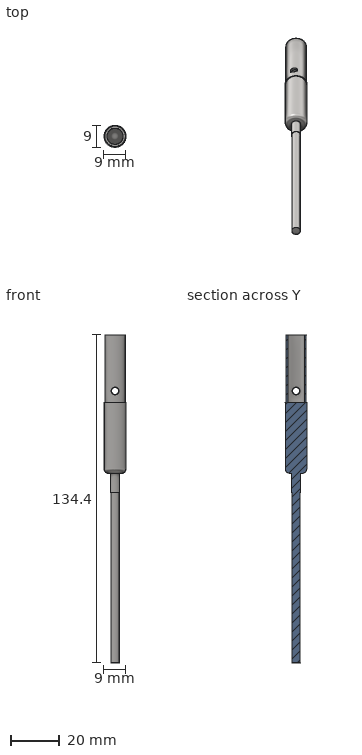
import cadquery as cq

total_length = 134.4
pin_top = 69.9
body_bottom = 77.5
body_top = 106.7

pin_diameter = 3.5
neck_diameter = 3.8
body_diameter = 9.0
sleeve_diameter = 8.5
bore_diameter = 6.6

body_fillet = 2.0

cross_hole_diameter = 3.0
cross_hole_height = 111.4


def cylinder(diameter, bottom, top):
    """Vertical cylinder on the Z axis between two heights."""
    return cq.Workplane("XY").workplane(offset=bottom).circle(diameter / 2).extrude(top - bottom)


pin = cylinder(pin_diameter, 0, pin_top)
neck = cylinder(neck_diameter, pin_top, body_bottom)

body = cylinder(body_diameter, body_bottom, body_top).faces("<Z").edges().fillet(body_fillet)

sleeve = cylinder(sleeve_diameter, body_top, total_length)
bore = cylinder(bore_diameter, body_top, total_length)

cross_hole = (
    cq.Workplane("XZ")
    .center(0, cross_hole_height)
    .circle(cross_hole_diameter / 2)
    .extrude(sleeve_diameter, both=True)
)

result = pin.union(neck).union(body).union(sleeve).cut(bore).cut(cross_hole)